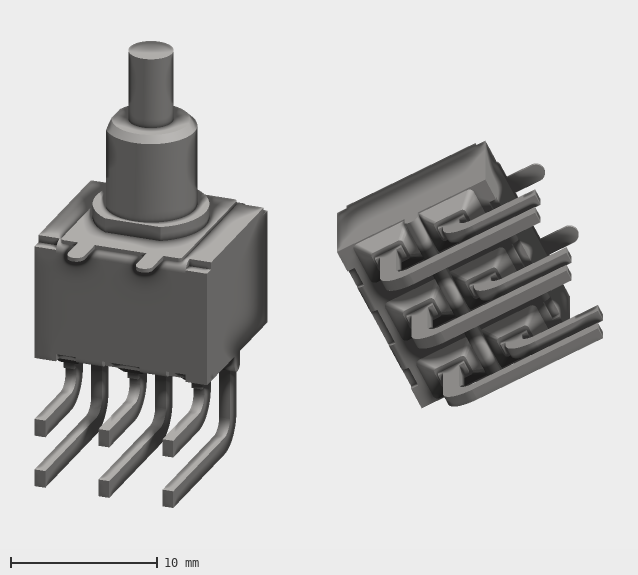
import cadquery as cq

housing_x = 12.7
housing_y = 11.43
housing_z = 8.89
insert_x = 9.53
edge_step_y = 0.76
corner_step_z = 0.54
notch_z = 0.54
notch_y = 0.55
middle_notch_x = 2.74
wall_foot_x = 1.96
wall_foot_round = 0.46

plate_x = 8.9
plate_thickness = 0.28
plate_corner_radius = 0.28
tab_width = 1.23
tab_pitch = 5.03
tab_length = 2.54

washer_diameter = 8.0
washer_across_flats = 6.9
washer_height = 1.04
bushing_diameter = 6.35
bushing_height = 6.35
bushing_flat_x = 2.585
bushing_chamfer = 0.48
plunger_diameter = 3.1
overall_z = 29.79

rib_thickness = 1.02
rib_depth = 1.32

column_pitch = 4.7
row_pitch = 4.83
pin_width = 0.79
pin_depth = 1.25
shoulder_y = 2.0
shoulder_bottom = 1.48
bend_inner_radius = 1.0
overall_y = 14.61
front_leg_bottom_z = -4.3
leg_spacing_z = 3.78

seal_top_x = 3.1
seal_top_y = 4.4
seal_top_radius = 0.35
seal_bottom_x = 1.5
seal_bottom_y = 2.4
seal_bottom_radius = 0.25
seal_depth = 0.97

front_y = -housing_y / 2
back_y = housing_y / 2
washer_base_z = housing_z + plate_thickness
bushing_base_z = washer_base_z + washer_height
leg_end_y = back_y - overall_y
lowest_z = front_leg_bottom_z - leg_spacing_z
column_xs = (-column_pitch, 0, column_pitch)


def block(x_size, y_size, z_size, x, y, z):
    """Box centred on x and y, standing on z."""
    return cq.Workplane("XY").box(x_size, y_size, z_size, centered=(True, True, False)).translate((x, y, z))


def make_wall_foot():
    """Front-to-back block closing the gap between two notches, with rounded lower edges."""
    return block(wall_foot_x, housing_y, notch_z, 0, 0, 0).edges("|X and <Z").fillet(wall_foot_round)


def make_housing():
    body = block(housing_x, housing_y, housing_z, 0, 0, 0)
    for side in (-1, 1):
        edge_y = side * (back_y - edge_step_y / 2)
        notch_center_y = side * (back_y - notch_y / 2)
        body = body.cut(block(housing_x, edge_step_y, corner_step_z, 0, edge_y, housing_z - corner_step_z))
        body = body.cut(block(insert_x, edge_step_y, edge_step_y, 0, edge_y, housing_z - edge_step_y))
        body = body.cut(block(insert_x, notch_y, notch_z, 0, notch_center_y, 0))

    insert = block(insert_x, housing_y, housing_z - notch_z, 0, 0, notch_z)
    body = body.union(insert.edges("|X and >Z").fillet(edge_step_y))
    foot_x = (middle_notch_x + wall_foot_x) / 2
    for x in (-foot_x, foot_x):
        body = body.union(make_wall_foot().translate((x, 0, 0)))
    return body


def make_plate():
    depth = housing_y - edge_step_y
    plate = block(plate_x, depth, plate_thickness, 0, front_y + depth / 2, housing_z)
    plate = plate.edges("|Z").fillet(plate_corner_radius)
    straight = tab_length - tab_width / 2
    root = edge_step_y
    for x in (-tab_pitch / 2, tab_pitch / 2):
        tab = block(tab_width, straight + root, plate_thickness, x, front_y + (root - straight) / 2, housing_z)
        tip = cq.Workplane("XY").circle(tab_width / 2).extrude(plate_thickness)
        plate = plate.union(tab).union(tip.translate((x, front_y - straight, housing_z)))
    return plate


def make_actuator():
    washer = cq.Workplane("XY").circle(washer_diameter / 2).extrude(washer_height)
    washer = washer.intersect(block(washer_diameter, washer_across_flats, washer_height, 0, 0, 0))
    bushing = cq.Workplane("XY").circle(bushing_diameter / 2).extrude(bushing_height)
    bushing = bushing.faces(">Z").chamfer(bushing_chamfer)
    flat_depth = bushing_diameter / 2 - bushing_flat_x
    flat_x = -bushing_flat_x - flat_depth / 2
    bushing = bushing.cut(block(flat_depth, bushing_diameter, bushing_height, flat_x, 0, 0))
    plunger_top_z = overall_z + lowest_z
    plunger = cq.Workplane("XY").circle(plunger_diameter / 2).extrude(plunger_top_z - bushing_base_z)
    return (
        washer.translate((0, 0, washer_base_z))
        .union(bushing.translate((0, 0, bushing_base_z)))
        .union(plunger.translate((0, 0, bushing_base_z)))
    )


def make_rib():
    edge_radius = rib_thickness / 2
    edge_center_z = edge_radius - rib_depth
    rib = block(housing_x, rib_thickness, -edge_center_z, 0, 0, edge_center_z)
    rounded_edge = cq.Workplane("YZ").circle(edge_radius).extrude(housing_x / 2, both=True)
    return rib.union(rounded_edge.translate((0, 0, edge_center_z)))


def make_seal():
    top = cq.Sketch().rect(seal_top_x, seal_top_y).vertices().fillet(seal_top_radius)
    bottom = cq.Sketch().rect(seal_bottom_x, seal_bottom_y).vertices().fillet(seal_bottom_radius)
    bottom = bottom.moved(cq.Location(cq.Vector(0, 0, -seal_depth)))
    return cq.Workplane("XY").placeSketch(bottom, top).loft()


def make_pin(row_y, leg_bottom_z):
    """Terminal leaving the housing at row_y and bent forward to a horizontal leg."""
    near_y = row_y - pin_depth / 2
    far_y = row_y + pin_depth / 2
    leg_top_z = leg_bottom_z + pin_depth
    bend_outer_radius = bend_inner_radius + pin_depth
    pin = (
        cq.Workplane("YZ")
        .moveTo(near_y, 0)
        .lineTo(near_y, leg_top_z + bend_inner_radius)
        .radiusArc((near_y - bend_inner_radius, leg_top_z), bend_inner_radius)
        .lineTo(leg_end_y, leg_top_z)
        .lineTo(leg_end_y, leg_bottom_z)
        .lineTo(far_y - bend_outer_radius, leg_bottom_z)
        .radiusArc((far_y, leg_bottom_z + bend_outer_radius), -bend_outer_radius)
        .lineTo(far_y, 0)
        .close()
        .extrude(pin_width / 2, both=True)
    )
    shoulder = block(pin_width, shoulder_y, shoulder_bottom, 0, row_y, -shoulder_bottom)
    return pin.union(shoulder)


rows = ((-row_pitch / 2, front_leg_bottom_z), (row_pitch / 2, lowest_z))

result = make_housing().union(make_plate()).union(make_actuator()).union(make_rib())
for row_y, leg_bottom_z in rows:
    for x in column_xs:
        result = result.union(make_seal().translate((x, row_y, 0)))
        result = result.union(make_pin(row_y, leg_bottom_z).translate((x, 0, 0)))